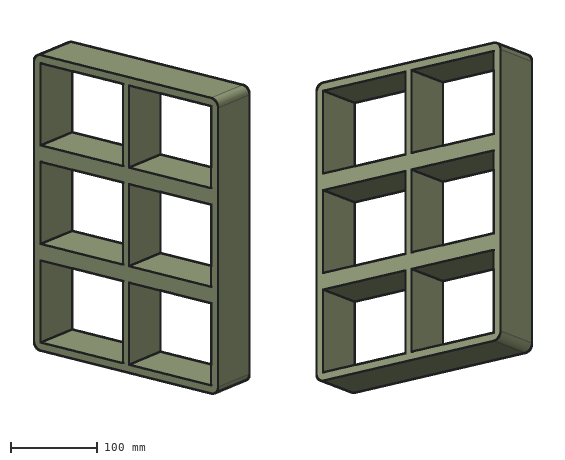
import cadquery as cq

width = 271.0
depth = 60.0
height = 363.0

wall = 10.0
post = 9.0
shelf = 20.5
corner_radius = 10.0

columns = 2
rows = 3
opening_width = (width - 2 * wall - (columns - 1) * post) / columns
opening_height = (height - 2 * wall - (rows - 1) * shelf) / rows

block = cq.Workplane("XY").box(width, depth, height).edges("|Y").fillet(corner_radius)

openings = (
    cq.Workplane("XZ")
    .rarray(opening_width + post, opening_height + shelf, columns, rows)
    .rect(opening_width, opening_height)
    .extrude(depth / 2, both=True)
)

result = block.cut(openings)